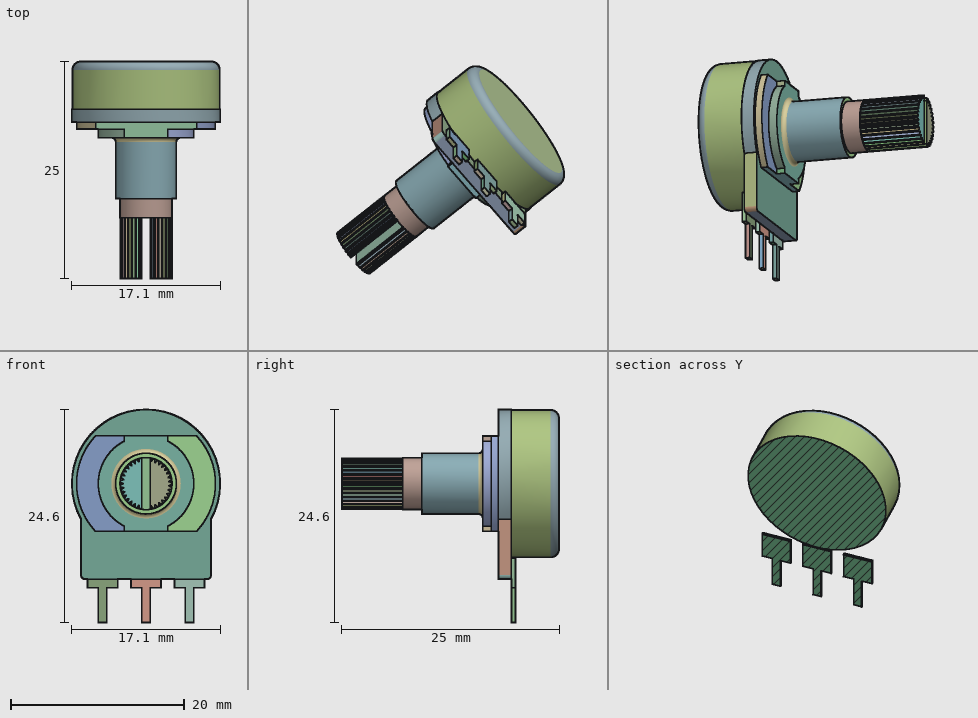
import cadquery as cq
import math


case_length = 5.5
plate_thickness = 1.5
flange_thickness = 0.8
boss_thickness = 1.0
bushing_length = 7.0
plain_shaft_length = 2.2
knurl_length = 7.0

plate_front = 0.0
plate_back = plate_front + plate_thickness
flange_front = plate_front - flange_thickness
boss_front = flange_front - boss_thickness
bushing_front = boss_front - bushing_length
knurl_start = bushing_front - plain_shaft_length
shaft_tip = knurl_start - knurl_length

case_diameter = 17.0
case_edge_radius = 1.0
plate_radius = 8.55
plate_width = 15.0
plate_bottom = -11.0
plate_corner_radius = 0.5

flange_radius = 8.0
height_across_flats = 11.0
boss_diameter = 11.0
boss_bar_width = 5.0

bushing_diameter = 7.0
bushing_root_fillet = 0.5
shaft_diameter = 6.0
slot_width = 1.0

groove_count = 35
groove_depth = 0.37
groove_share = 0.7
first_groove_angle = 180.0

terminal_pitch = 5.0
terminal_thickness = 0.5
tab_width = 3.5
tab_top = -plate_radius
tab_bottom = plate_bottom - 1.0
pin_width = 1.0
pin_bottom = -16.0


def plane_at(y):
    """XZ work plane at the given Y; extrusions run towards -Y."""
    return cq.Workplane("XZ", origin=(0, y, 0))


def disc(radius, back, front):
    """Cylinder on the shaft axis."""
    return plane_at(back).circle(radius).extrude(back - front)


def bar(width, top, bottom, back, front):
    """Block centred on X = 0."""
    centre_z = (top + bottom) / 2
    return plane_at(back).center(0, centre_z).rect(width, top - bottom).extrude(back - front)


def make_case():
    case_back = plate_back + case_length
    return disc(case_diameter / 2, case_back, plate_back).faces(">Y").edges().fillet(case_edge_radius)


def make_plate():
    skirt = bar(plate_width, 0, plate_bottom, plate_back, plate_front)
    skirt = skirt.faces("<Z").edges("|Y").fillet(plate_corner_radius)
    return disc(plate_radius, plate_back, plate_front).union(skirt)


def make_flange():
    half_height = height_across_flats / 2
    between_flats = bar(2 * flange_radius, half_height, -half_height, plate_front, flange_front)
    return disc(flange_radius, plate_front, flange_front).intersect(between_flats)


def make_boss():
    half_height = height_across_flats / 2
    upright = bar(boss_bar_width, half_height, -half_height, flange_front, boss_front)
    return disc(boss_diameter / 2, flange_front, boss_front).union(upright)


def make_bushing():
    """Revolved bushing with a concave fillet where it meets the boss."""
    radius = bushing_diameter / 2
    fillet_radius = radius + bushing_root_fillet
    fillet_front = boss_front - bushing_root_fillet
    inset = bushing_root_fillet * (1 - math.sqrt(0.5))
    profile = (
        cq.Workplane("XY")
        .moveTo(0, boss_front)
        .lineTo(fillet_radius, boss_front)
        .threePointArc((radius + inset, boss_front - inset), (radius, fillet_front))
        .lineTo(radius, bushing_front)
        .lineTo(0, bushing_front)
        .close()
    )
    return profile.revolve(360, (0, 0, 0), (0, 1, 0))


def polar(radius, angle):
    """X and Z of a point at the given radius and angle in radians."""
    return radius * math.cos(angle), radius * math.sin(angle)


def make_knurl():
    """Shaft end with V grooves separated by narrow lands on the shaft diameter."""
    outer_radius = shaft_diameter / 2
    root_radius = outer_radius - groove_depth
    pitch = 2 * math.pi / groove_count
    half_mouth = groove_share * pitch / 2
    first_root = math.radians(first_groove_angle)

    outline = plane_at(knurl_start).moveTo(*polar(outer_radius, first_root - half_mouth))
    for index in range(groove_count):
        root = first_root + index * pitch
        outline = outline.lineTo(*polar(root_radius, root))
        outline = outline.lineTo(*polar(outer_radius, root + half_mouth))
        land_middle = polar(outer_radius, root + pitch / 2)
        land_end = polar(outer_radius, root + pitch - half_mouth)
        outline = outline.threePointArc(land_middle, land_end)
    return outline.close().extrude(knurl_length)


def make_shaft():
    radius = shaft_diameter / 2
    plain = disc(radius, bushing_front, knurl_start)
    slot = bar(slot_width, radius, -radius, knurl_start, shaft_tip)
    return plain.union(make_knurl().cut(slot))


def make_terminal(x):
    """Flat terminal behind the plate: a wide tab narrowing to a pin."""
    terminal_back = plate_back + terminal_thickness
    tab = bar(tab_width, tab_top, tab_bottom, terminal_back, plate_back)
    pin = bar(pin_width, tab_bottom, pin_bottom, terminal_back, plate_back)
    return tab.union(pin).translate((x, 0, 0))


result = make_case()
for section in (make_plate(), make_flange(), make_boss(), make_bushing(), make_shaft()):
    result = result.union(section)
for position in (-1, 0, 1):
    result = result.union(make_terminal(position * terminal_pitch))